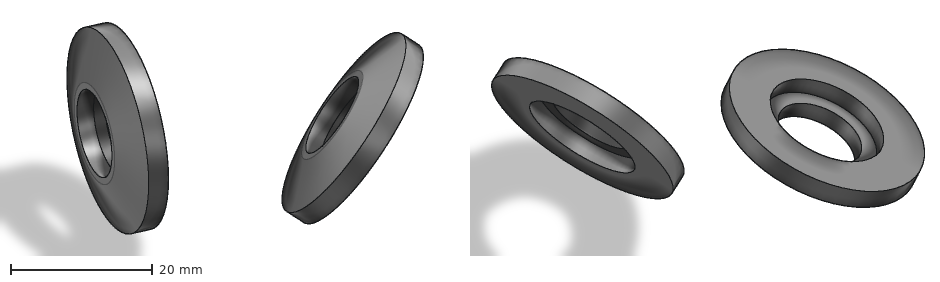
import cadquery as cq

outer_diameter = 29.97
bore_diameter = 12.77
land_diameter = 14.8
counterbore_diameter = 17.38
thickness = 5.1
rim_thickness = 3.05
bore_length = 2.55

outer_radius = outer_diameter / 2
bore_radius = bore_diameter / 2
land_radius = land_diameter / 2
counterbore_radius = counterbore_diameter / 2
cone_height = thickness - rim_thickness

half_section = (
    cq.Workplane("XY")
    .moveTo(bore_radius, 0)
    .lineTo(land_radius, 0)
    .lineTo(outer_radius, cone_height)
    .lineTo(outer_radius, thickness)
    .lineTo(counterbore_radius, thickness)
    .lineTo(counterbore_radius, bore_length)
    .lineTo(bore_radius, bore_length)
    .close()
)

result = half_section.revolve(360, (0, 0, 0), (0, 1, 0))